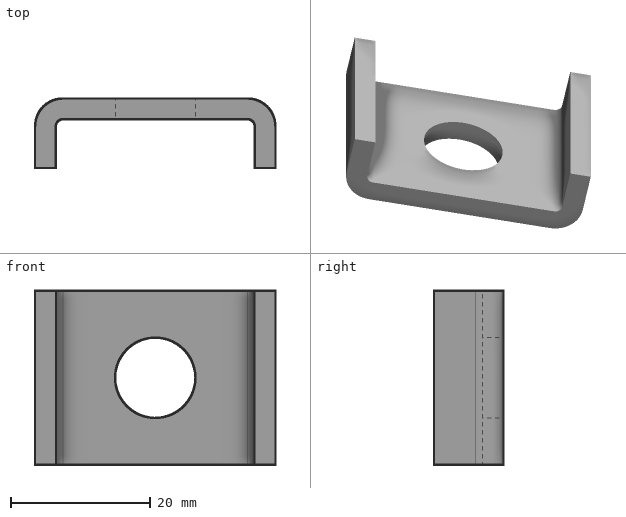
import cadquery as cq

width = 34.5
depth = 10.0
height = 25.0
thickness = 3.0
inner_radius = 1.0
hole_diameter = 11.5

outer_radius = inner_radius + thickness
inner_width = width - 2 * thickness

channel = (
    cq.Workplane("XY")
    .box(width, depth, height)
    .edges("|Z and >Y")
    .fillet(outer_radius)
)

cavity = (
    cq.Workplane("XY")
    .box(inner_width, depth, height)
    .edges("|Z and >Y")
    .fillet(inner_radius)
    .translate((0, -thickness, 0))
)

hole = (
    cq.Workplane("XZ")
    .circle(hole_diameter / 2)
    .extrude(depth / 2, both=True)
)

result = channel.cut(cavity).cut(hole)